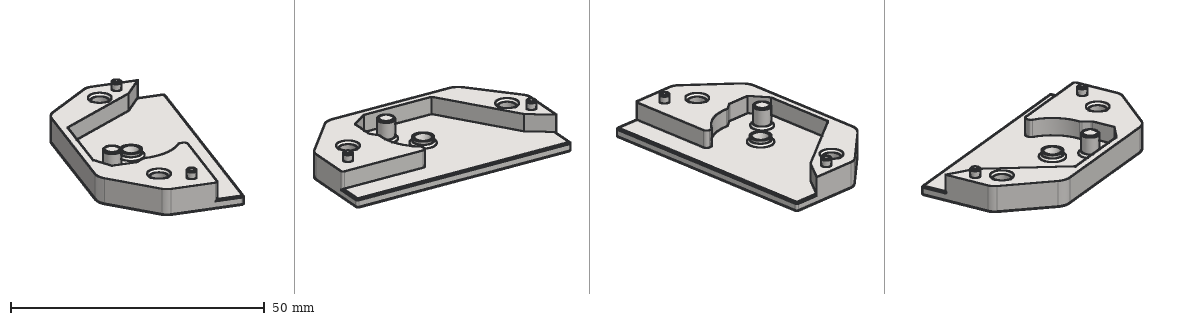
import cadquery as cq
import math

half_width = 24.9
back_y = 15.26
front_y = -12.0
side_end_y = -0.95
front_half_width = 15.05
side_corner_radius = 2.5
front_corner_radius = 3.5
back_corner_radius = 0.5
plate_thickness = 2.04
block_top = 5.8
edge_chamfer = 0.3

left_block_back_y = 9.7
right_block_back_y = 9.75
left_knee = (-19.64, 6.06)
recess_front_y = -10.34
recess_front_left_x = -8.46
recess_front_right_x = 7.29
recess_right_x = 11.03
recess_right_front_y = -7.65
recess_right_back_y = -2.45
swing_radius = 9.75
swing_end_y = -0.7
tongue_tip_x = 5.35
swing_blend_radius = 0.8
recess_right_radius = 0.5
block_corner_radius = 0.5
cut_margin = 1.0

mounting_holes = [(-19.5, 0), (17.45, 0)]
mounting_hole_diameter = 3.6
countersink_depth = 0.54

locating_pins = [(-22.37, 4.41), (20.97, 5.6)]
pin_diameter = 2.0
pin_top = 7.56
pin_chamfer = 0.3

foot_height = 0.54
post_center = (5.08, -5.62)
post_diameter = 3.63
post_top = 6.53
post_chamfer = 0.3
boss_center = (0, 0)
boss_diameter = 4.32
boss_height = 1.25
boss_top = plate_thickness + boss_height
bore_mouth_diameter = 3.63
bore_diameter = 2.2
bore_taper_depth = 1.8


def round_corner(solid, corner, radius, height):
    """Fillet the vertical edge standing at the given XY corner of a solid of the given height."""
    nearest = cq.selectors.NearestToPointSelector((*corner, height / 2))
    return solid.edges("|Z").edges(nearest).fillet(radius)


def outline_prism(height):
    """Plate outline extruded upward, with rounded corners and a chamfered bottom edge."""
    prism = (
        cq.Workplane("XY")
        .moveTo(-half_width, back_y)
        .lineTo(half_width, back_y)
        .lineTo(half_width, side_end_y)
        .lineTo(front_half_width, front_y)
        .lineTo(-front_half_width, front_y)
        .lineTo(-half_width, side_end_y)
        .close()
        .extrude(height)
    )
    prism = prism.edges("|Z and >Y").fillet(back_corner_radius)
    prism = prism.edges("|Z and <Y").fillet(front_corner_radius)
    for side in (-1, 1):
        prism = round_corner(prism, (side * half_width, side_end_y), side_corner_radius, height)
    return prism.faces("<Z").edges().chamfer(edge_chamfer)


def arc_point(radius, angle):
    return (radius * math.cos(angle), radius * math.sin(angle))


def recess():
    """Region kept clear of the blocks, cut through the full block height."""
    outside_x = half_width + cut_margin
    outside_y = back_y + cut_margin
    swing_start = math.acos(tongue_tip_x / swing_radius)
    swing_end = math.asin(swing_end_y / swing_radius)
    tongue_back = (tongue_tip_x, right_block_back_y)
    tongue_front = arc_point(swing_radius, swing_start)
    swing_front = arc_point(swing_radius, swing_end)
    recess_right_back = (recess_right_x, recess_right_back_y)
    shape = (
        cq.Workplane("XY")
        .moveTo(-outside_x, outside_y)
        .lineTo(-outside_x, left_block_back_y)
        .lineTo(-half_width, left_block_back_y)
        .lineTo(*left_knee)
        .lineTo(recess_front_left_x, recess_front_y)
        .lineTo(recess_front_right_x, recess_front_y)
        .lineTo(recess_right_x, recess_right_front_y)
        .lineTo(*recess_right_back)
        .lineTo(*swing_front)
        .threePointArc(arc_point(swing_radius, (swing_start + swing_end) / 2), tongue_front)
        .lineTo(*tongue_back)
        .lineTo(outside_x, right_block_back_y)
        .lineTo(outside_x, outside_y)
        .close()
        .extrude(block_top)
    )
    shape = round_corner(shape, tongue_back, swing_blend_radius, block_top)
    shape = round_corner(shape, tongue_front, swing_blend_radius, block_top)
    shape = round_corner(shape, swing_front, swing_blend_radius, block_top)
    return round_corner(shape, recess_right_back, recess_right_radius, block_top)


def raised_blocks():
    blocks = outline_prism(block_top).cut(recess())
    return round_corner(blocks, (half_width, right_block_back_y), block_corner_radius, block_top)


def cylinder(center, diameter, bottom, top):
    return cq.Workplane("XY", origin=(*center, bottom)).circle(diameter / 2).extrude(top - bottom)


def cone(center, bottom_diameter, top_diameter, bottom, height):
    solid = cq.Solid.makeCone(bottom_diameter / 2, top_diameter / 2, height, pnt=cq.Vector(*center, bottom))
    return cq.Workplane(obj=solid)


def conical_foot(center, diameter):
    return cone(center, diameter + 2 * foot_height, diameter, plate_thickness, foot_height)


def locating_pin(center):
    return cylinder(center, pin_diameter, plate_thickness, pin_top).faces(">Z").chamfer(pin_chamfer)


def post():
    shaft = cylinder(post_center, post_diameter, plate_thickness, post_top)
    return shaft.faces(">Z").chamfer(post_chamfer).union(conical_foot(post_center, post_diameter))


def mounting_hole(center):
    hole = cylinder(center, mounting_hole_diameter, 0, block_top)
    mouth_diameter = mounting_hole_diameter + 2 * countersink_depth
    countersink_bottom = block_top - countersink_depth
    return hole.union(
        cone(center, mounting_hole_diameter, mouth_diameter, countersink_bottom, countersink_depth)
    )


def hollow_boss():
    wall = cylinder(boss_center, boss_diameter, plate_thickness, boss_top)
    return wall.union(conical_foot(boss_center, boss_diameter))


def boss_bore():
    """Through bore that widens toward the top of the boss."""
    taper_bottom = boss_top - bore_taper_depth
    taper = cone(boss_center, bore_diameter, bore_mouth_diameter, taper_bottom, bore_taper_depth)
    return cylinder(boss_center, bore_diameter, 0, boss_top).union(taper)


base_plate = outline_prism(plate_thickness).faces(">Z").edges().chamfer(edge_chamfer)
result = base_plate.union(raised_blocks())

for hole_center in mounting_holes:
    result = result.cut(mounting_hole(hole_center))

for pin_center in locating_pins:
    result = result.union(locating_pin(pin_center))

result = result.union(post())
result = result.union(hollow_boss()).cut(boss_bore())